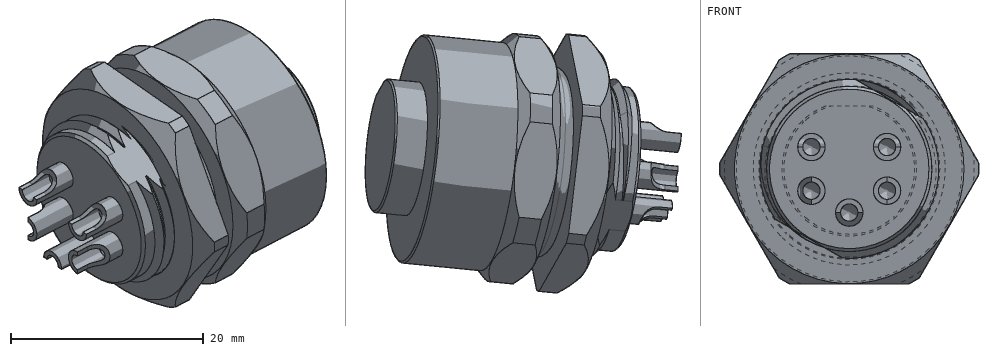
import cadquery as cq
import math


BODY_FRONT = 5.0
NUT_FRONT = 8.95
NUT_BACK = 12.5
FLANGE_FRONT = 14.5
FLANGE_BACK = 19.03
BARREL_BACK = 27.55
SPIGOT_BACK = 30.95

ACROSS_FLATS = 24.0
NUT_CORNER_DIAMETER = 27.0
FLANGE_CORNER_DIAMETER = 26.0
HEX_FACE_DIAMETER = 23.9
NUT_CHAMFER_LENGTH = 1.65
FLANGE_CHAMFER_LENGTH = 1.08

BARREL_DIAMETER = 23.9
SPIGOT_DIAMETER = 14.0
SPIGOT_FLAT_HEIGHT = 6.55
REAR_CHAMFER = 0.2

RING_OUTER_DIAMETER = 20.0
RING_CORD_DIAMETER = 2.3

CORE_DIAMETER = 17.2
CORE_CHAMFER = 0.3
THREAD_DIAMETER = 18.63
THREAD_PITCH = 1.42
THREAD_ROOT_GAP = 0.1
THREAD_BURIAL = 0.3
SHOULDER_SINK = 0.03
THREAD_START = 6.62
THREAD_START_ANGLE = 165.0
RUN_OUT_ANGLE = 70.0
RUN_OUT_SECTIONS = 6
NUT_THREAD_ANGLE = 85.0
BODY_FLAT_HEIGHT = 8.4
BODY_FLAT_ANGLE = 60.0

PIN_CIRCLE_RADIUS = 4.55
PIN_DIAMETER = 2.85
PIN_BORE_DIAMETER = 1.8
PIN_BORE_DEPTH = 3.7
DRILL_POINT_ANGLE = 90.0
CUP_FLAT_LENGTH = 1.4
CUP_BLEND_RADIUS = 1.92
PINS = [(30, 90), (150, 90), (210, 180), (270, 270), (330, 0)]


def along_axis(solid):
    """Turn a solid built along +Z so that it runs along +Y."""
    return solid.rotate((0, 0, 0), (1, 0, 0), -90)


def spun(solid, angle):
    """Turn a solid about the Y axis by an angle from +X towards +Z."""
    return solid.rotate((0, 0, 0), (0, 1, 0), -angle)


def cylinder(diameter, start, end):
    return along_axis(cq.Workplane("XY").workplane(offset=start).circle(diameter / 2).extrude(end - start))


def chamfered_hexagon(corner_diameter, start, end, chamfer_length, chamfer_back):
    """Hexagon with a flat on top, its corners rounded and its end faces turned down to a circle."""
    circumscribed = ACROSS_FLATS / math.cos(math.radians(30))
    hexagon = along_axis(
        cq.Workplane("XY").workplane(offset=start).polygon(6, circumscribed).extrude(end - start)
    )
    corner = corner_diameter / 2
    face = HEX_FACE_DIAMETER / 2
    outline = cq.Workplane("XY").moveTo(0, start).lineTo(face, start).lineTo(corner, start + chamfer_length)
    if chamfer_back:
        outline = outline.lineTo(corner, end - chamfer_length).lineTo(face, end)
    else:
        outline = outline.lineTo(corner, end)
    envelope = outline.lineTo(0, end).close().revolve(360, (0, 0, 0), (0, 1, 0))
    return hexagon.intersect(envelope)


def rear_housing():
    barrel = cylinder(BARREL_DIAMETER, FLANGE_BACK, BARREL_BACK).faces(">Y").chamfer(REAR_CHAMFER)
    spigot = cylinder(SPIGOT_DIAMETER, BARREL_BACK, SPIGOT_BACK).faces(">Y").chamfer(REAR_CHAMFER)
    top_cut = (
        cq.Workplane("XY")
        .workplane(offset=SPIGOT_FLAT_HEIGHT)
        .center(0, (BARREL_BACK + SPIGOT_BACK) / 2)
        .rect(SPIGOT_DIAMETER, SPIGOT_BACK - BARREL_BACK)
        .extrude(SPIGOT_DIAMETER)
    )
    return barrel.union(spigot.cut(top_cut))


def sealing_ring():
    cord = RING_CORD_DIAMETER / 2
    return (
        cq.Workplane("XY")
        .center(RING_OUTER_DIAMETER / 2 - cord, (NUT_BACK + FLANGE_FRONT) / 2)
        .circle(cord)
        .revolve(360, (cord - RING_OUTER_DIAMETER / 2, 0, 0), (cord - RING_OUTER_DIAMETER / 2, 1, 0))
    )


def ridge_section(sink):
    """Corners (radius, axial offset) of the V ridge, lowered radially by the given amount."""
    crest = THREAD_DIAMETER / 2 - sink
    shoulder = CORE_DIAMETER / 2 - SHOULDER_SINK - sink
    half_width = (THREAD_PITCH - THREAD_ROOT_GAP) / 2
    return [
        (shoulder - THREAD_BURIAL, -half_width),
        (shoulder, -half_width),
        (crest, 0),
        (shoulder, half_width),
        (shoulder - THREAD_BURIAL, half_width),
    ]


def full_ridge(length):
    """Right-hand V ridge at full height, starting on +X at height 0."""
    helix = cq.Wire.makeHelix(THREAD_PITCH, length, CORE_DIAMETER / 2)
    return cq.Workplane("XZ").polyline(ridge_section(0)).close().sweep(cq.Workplane(helix), isFrenet=True)


def run_out():
    """Tail of the ridge that sinks into the core ahead of the full ridge."""
    depth = (THREAD_DIAMETER - CORE_DIAMETER) / 2
    sections = []
    for step in range(RUN_OUT_SECTIONS):
        fraction = step / (RUN_OUT_SECTIONS - 1)
        turn = -math.radians(RUN_OUT_ANGLE) * fraction
        lead = THREAD_PITCH * turn / (2 * math.pi)
        corners = [
            cq.Vector(radius * math.cos(turn), radius * math.sin(turn), lead + offset)
            for radius, offset in ridge_section(depth * fraction)
        ]
        sections.append(cq.Wire.makePolygon(corners, close=True))
    return cq.Workplane(cq.Solid.makeLoft(sections))


def place_ridge(ridge, start, start_angle):
    return spun(along_axis(ridge), start_angle).translate((0, start, 0))


def threaded_rod():
    rod = cylinder(CORE_DIAMETER, BODY_FRONT, FLANGE_FRONT).faces("<Y").chamfer(CORE_CHAMFER)
    length = NUT_BACK - THREAD_PITCH / 2 - THREAD_START
    for ridge in (full_ridge(length), run_out()):
        rod = rod.union(place_ridge(ridge, THREAD_START, THREAD_START_ANGLE))
    return rod


def nut_bore():
    """Threaded space inside the nut, starting one turn ahead of the nut and ending inside it."""
    start = NUT_FRONT - THREAD_PITCH
    end = NUT_BACK - THREAD_PITCH
    core = cylinder(CORE_DIAMETER, start, end)
    return core.union(place_ridge(full_ridge(end - start), start, NUT_THREAD_ANGLE))


def flat_blocks(start, end):
    """Two opposite blocks lying outside the flats of the threaded body."""
    blocks = cq.Workplane("XY")
    for angle in (BODY_FLAT_ANGLE, BODY_FLAT_ANGLE + 180):
        block = (
            cq.Workplane("YZ")
            .workplane(offset=BODY_FLAT_HEIGHT)
            .center((start + end) / 2, 0)
            .rect(end - start, THREAD_DIAMETER)
            .extrude(THREAD_DIAMETER / 2)
        )
        blocks = blocks.add(spun(block, angle))
    return blocks.combine()


def pin_bore():
    """Blind bore with a drill point, from the pin tip."""
    radius = PIN_BORE_DIAMETER / 2
    point = radius / math.tan(math.radians(DRILL_POINT_ANGLE / 2))
    return (
        cq.Workplane("XY")
        .lineTo(radius, 0)
        .lineTo(radius, PIN_BORE_DEPTH)
        .lineTo(0, PIN_BORE_DEPTH + point)
        .close()
        .revolve(360, (0, 0, 0), (0, 1, 0))
    )


def cup_cut():
    """Block that opens the +X half of a pin tip and blends out along an arc."""
    rise = PIN_DIAMETER / 2
    reach = math.sqrt(CUP_BLEND_RADIUS**2 - (CUP_BLEND_RADIUS - rise) ** 2)
    half_sweep = math.atan2(reach, CUP_BLEND_RADIUS - rise) / 2
    middle = (
        CUP_BLEND_RADIUS * (1 - math.cos(half_sweep)),
        CUP_FLAT_LENGTH + CUP_BLEND_RADIUS * math.sin(half_sweep),
    )
    return (
        cq.Workplane("XY")
        .lineTo(0, CUP_FLAT_LENGTH)
        .threePointArc(middle, (rise, CUP_FLAT_LENGTH + reach))
        .lineTo(rise, 0)
        .close()
        .extrude(PIN_DIAMETER / 2, both=True)
    )


def at_pin(solid, place, opening):
    angle = math.radians(place)
    x = PIN_CIRCLE_RADIUS * math.cos(angle)
    z = PIN_CIRCLE_RADIUS * math.sin(angle)
    return spun(solid, opening).translate((x, 0, z))


nut = chamfered_hexagon(NUT_CORNER_DIAMETER, NUT_FRONT, NUT_BACK, NUT_CHAMFER_LENGTH, False)
flange = chamfered_hexagon(
    FLANGE_CORNER_DIAMETER, FLANGE_FRONT, FLANGE_BACK, FLANGE_CHAMFER_LENGTH, True
)
rod = threaded_rod()

exposed_flats = flat_blocks(BODY_FRONT, NUT_FRONT)
gap_in_nut = nut_bore().intersect(flat_blocks(NUT_FRONT, NUT_BACK))

result = rod.cut(exposed_flats).union(nut).cut(gap_in_nut)
result = result.union(sealing_ring()).union(flange).union(rear_housing())

solder_pin = cylinder(PIN_DIAMETER, 0, BODY_FRONT).cut(cup_cut())
for place, opening in PINS:
    result = result.union(at_pin(solder_pin, place, opening))
    result = result.cut(at_pin(pin_bore(), place, opening))